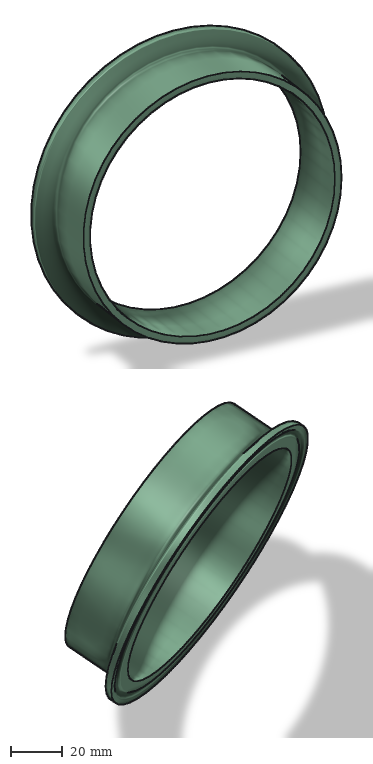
import cadquery as cq
import math

length = 28.0
flange_radius = 65.0
pipe_radius = 57.1
bore_radius = 54.1

rim_width = 2.5
rim_round = 0.6
neck_round = 2.1
taper = math.radians(18)

groove_center_radius = 61.0
groove_half_width = 2.1
groove_radius = 1.4
lip_round = 0.9


def on_arc(center, radius, angle):
    """Point at an angle from +X on a circle in the X-radius half plane."""
    return (center[0] + radius * math.cos(angle), center[1] + radius * math.sin(angle))


def revolve_about_x(profile):
    return profile.close().revolve(360, (0, 0, 0), (1, 0, 0))


def make_body():
    rim_center = (rim_width, flange_radius - rim_round)
    taper_start = on_arc(rim_center, rim_round, taper)
    taper_drop = taper_start[1] - pipe_radius - neck_round * (1 - math.sin(taper))
    neck_end = taper_start[0] + taper_drop * math.tan(taper) + neck_round * math.cos(taper)
    neck_center = (neck_end, pipe_radius + neck_round)
    rim_middle = (math.pi / 2 + taper) / 2
    neck_middle = math.pi + rim_middle
    return revolve_about_x(
        cq.Workplane("XY")
        .moveTo(0, bore_radius)
        .lineTo(0, flange_radius)
        .lineTo(rim_width, flange_radius)
        .threePointArc(on_arc(rim_center, rim_round, rim_middle), taper_start)
        .lineTo(*on_arc(neck_center, neck_round, math.pi + taper))
        .threePointArc(on_arc(neck_center, neck_round, neck_middle), (neck_end, pipe_radius))
        .lineTo(length, pipe_radius)
        .lineTo(length, bore_radius)
    )


def make_groove():
    center_gap = groove_radius + lip_round
    lean = math.acos(groove_half_width / center_gap)
    floor_center = (lip_round - center_gap * math.sin(lean), groove_center_radius)
    inner_center = (lip_round, groove_center_radius - groove_half_width)
    outer_center = (lip_round, groove_center_radius + groove_half_width)
    inner_join = math.pi / 2 + lean
    inner_middle = (math.pi + inner_join) / 2
    return revolve_about_x(
        cq.Workplane("XY")
        .moveTo(0, inner_center[1])
        .threePointArc(
            on_arc(inner_center, lip_round, inner_middle), on_arc(inner_center, lip_round, inner_join)
        )
        .threePointArc(
            on_arc(floor_center, groove_radius, 0), on_arc(outer_center, lip_round, -inner_join)
        )
        .threePointArc(on_arc(outer_center, lip_round, -inner_middle), (0, outer_center[1]))
    )


result = make_body().cut(make_groove())